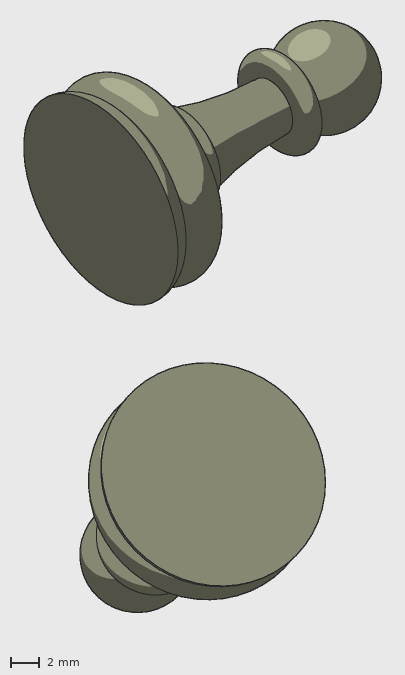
import cadquery as cq
import math


total_height = 24.67
base_diameter = 16.0
base_height = 5.0
flare_radius = 2.5
neck_radius = 3.8
stem_bottom_radius = 3.33
stem_top_radius = 2.17
collar_bottom = 15.85
collar_height = 1.5
head_radius = 4.0

foot_height = base_height / 3
ring_round = foot_height
base_radius = base_diameter / 2
groove_radius = base_radius - ring_round
ring_middle = foot_height + ring_round

flare_top = base_height + flare_radius
lip_round = neck_radius - stem_bottom_radius
lip_top = flare_top + lip_round

collar_round = collar_height / 2
collar_top = collar_bottom + collar_height
collar_flat_radius = head_radius - collar_round

head_center = total_height - head_radius
head_seat_radius = math.sqrt(head_radius**2 - (head_center - collar_top)**2)

stem_height = collar_bottom - lip_top
stem_spread = stem_bottom_radius - stem_top_radius
stem_curve_radius = (stem_height**2 + stem_spread**2) / (2 * stem_spread)
stem_middle = lip_top + stem_height / 2
stem_curve_drop = math.sqrt(stem_curve_radius**2 - (stem_height / 2)**2)
stem_middle_radius = stem_top_radius + stem_curve_radius - stem_curve_drop


def quarter_arc_middle(center, radius, x_sign, y_sign):
    """Midpoint of a quarter circle in the chosen quadrant about its center."""
    offset = radius * math.sqrt(0.5)
    return center[0] + x_sign * offset, center[1] + y_sign * offset


foot_arc_middle = quarter_arc_middle((groove_radius, 0), ring_round, 1, 1)
flare_arc_middle = quarter_arc_middle((neck_radius + flare_radius, flare_top), flare_radius, -1, -1)
lip_arc_middle = quarter_arc_middle((stem_bottom_radius, flare_top), lip_round, 1, 1)

profile = (
    cq.Workplane("XY")
    .lineTo(base_radius, 0)
    .threePointArc(foot_arc_middle, (groove_radius, foot_height))
    .threePointArc((base_radius, ring_middle), (groove_radius, base_height))
    .lineTo(neck_radius + flare_radius, base_height)
    .threePointArc(flare_arc_middle, (neck_radius, flare_top))
    .threePointArc(lip_arc_middle, (stem_bottom_radius, lip_top))
    .threePointArc((stem_middle_radius, stem_middle), (stem_top_radius, collar_bottom))
    .lineTo(collar_flat_radius, collar_bottom)
    .threePointArc((head_radius, collar_bottom + collar_round), (collar_flat_radius, collar_top))
    .lineTo(head_seat_radius, collar_top)
    .threePointArc((head_radius, head_center), (0, total_height))
    .close()
)

result = profile.revolve(360, (0, 0, 0), (0, 1, 0))